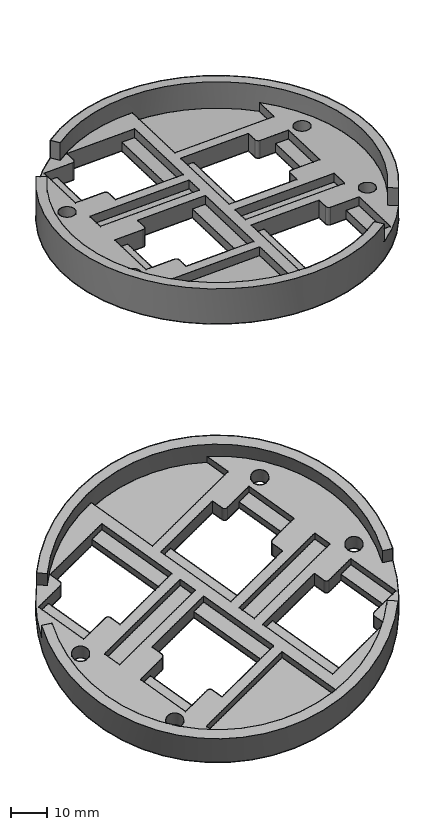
import cadquery as cq

OUTER_RADIUS = 50.0
INNER_RADIUS = 47.0
TOTAL_HEIGHT = 12.0
FLOOR_HEIGHT = 6.0

RIM_GAP_ANGLE = 20.0
RIM_GAP_DIRECTIONS = (45.0, 225.0)

ROW_START = 1.7
ROW_LENGTH = 32.2
ROW_END = ROW_START + ROW_LENGTH
WALL = 3.0
POCKET_DEPTH = 3.0
LEDGE_LENGTH = 4.2

BODY_WIDTH = 25.3
LATCH_WIDTH = 16.3
LATCH_LENGTH = 10.2
LATCH_CORNER_RADIUS = 1.0
JACK_PITCH = 36.8
FIRST_JACK_X = -9.2
JACK_CENTERS = (FIRST_JACK_X, FIRST_JACK_X + JACK_PITCH)

HOLE_DIAMETER = 5.0
HOLE_SPACING_X = 34.0
HOLE_SPACING_Y = 76.2


def box_between(x_min, x_max, y_min, y_max, z_min, z_max):
    """Axis-aligned box given by its limits."""
    size = (x_max - x_min, y_max - y_min, z_max - z_min)
    return cq.Workplane("XY").box(*size, centered=False).translate((x_min, y_min, z_min))


def plate_with_rim():
    """Disc with a rim that is interrupted by two radial gaps."""
    plate = cq.Workplane("XY").circle(OUTER_RADIUS).extrude(TOTAL_HEIGHT)
    recess = (
        cq.Workplane("XY", origin=(0, 0, FLOOR_HEIGHT))
        .circle(INNER_RADIUS)
        .extrude(TOTAL_HEIGHT - FLOOR_HEIGHT)
    )
    plate = plate.cut(recess)
    gap_profile_center = (OUTER_RADIUS / 2, (FLOOR_HEIGHT + TOTAL_HEIGHT) / 2)
    for direction in RIM_GAP_DIRECTIONS:
        gap = (
            cq.Workplane("XZ")
            .center(*gap_profile_center)
            .rect(OUTER_RADIUS, TOTAL_HEIGHT - FLOOR_HEIGHT)
            .revolve(RIM_GAP_ANGLE, (-OUTER_RADIUS / 2, 0), (-OUTER_RADIUS / 2, 1))
            .rotate((0, 0, 0), (0, 0, 1), direction - RIM_GAP_ANGLE / 2)
        )
        plate = plate.cut(gap)
    return plate


def jack_opening(center_x):
    """T-shaped recess with a through window that leaves a ledge at both ends."""
    body_min = center_x - BODY_WIDTH / 2
    body_max = center_x + BODY_WIDTH / 2
    latch_min = center_x - LATCH_WIDTH / 2
    latch_max = center_x + LATCH_WIDTH / 2
    shoulder_y = ROW_END - LATCH_LENGTH

    body = box_between(body_min, body_max, ROW_START, shoulder_y, 0, FLOOR_HEIGHT)
    latch = box_between(latch_min, latch_max, shoulder_y, ROW_END, 0, FLOOR_HEIGHT)
    shoulder_corners = cq.selectors.BoxSelector(
        (latch_min - WALL / 2, shoulder_y - WALL / 2, 0),
        (latch_max + WALL / 2, shoulder_y + WALL / 2, FLOOR_HEIGHT),
    )
    opening = body.union(latch).edges("|Z").edges(shoulder_corners).fillet(LATCH_CORNER_RADIUS)

    ledge_top = FLOOR_HEIGHT - POCKET_DEPTH
    for y_min in (ROW_START, ROW_END - LEDGE_LENGTH):
        ledge = box_between(body_min, body_max, y_min, y_min + LEDGE_LENGTH, 0, ledge_top)
        opening = opening.cut(ledge)
    return opening


def row_pockets():
    """Blind slot between the two jacks and the blind pocket beside the first one."""
    first_x, second_x = JACK_CENTERS
    pocket_floor = FLOOR_HEIGHT - POCKET_DEPTH
    slot = box_between(
        first_x + BODY_WIDTH / 2 + WALL,
        second_x - BODY_WIDTH / 2 - WALL,
        ROW_START, ROW_END, pocket_floor, FLOOR_HEIGHT,
    )
    side_pocket = box_between(
        -OUTER_RADIUS,
        first_x - BODY_WIDTH / 2 - WALL,
        ROW_START, ROW_END, pocket_floor, FLOOR_HEIGHT,
    )
    inside_rim = cq.Workplane("XY").circle(INNER_RADIUS).extrude(FLOOR_HEIGHT)
    return slot.union(side_pocket.intersect(inside_rim))


def row_of_cuts():
    """Everything removed from the floor by one row."""
    cuts = row_pockets()
    for center_x in JACK_CENTERS:
        cuts = cuts.union(jack_opening(center_x))
    return cuts


def screw_holes():
    """Four through holes on a rectangular pattern."""
    return (
        cq.Workplane("XY")
        .rect(HOLE_SPACING_X, HOLE_SPACING_Y, forConstruction=True)
        .vertices()
        .circle(HOLE_DIAMETER / 2)
        .extrude(FLOOR_HEIGHT)
    )


result = plate_with_rim()
row = row_of_cuts()
for turn in (0, 180):
    result = result.cut(row.rotate((0, 0, 0), (0, 0, 1), turn))
result = result.cut(screw_holes())